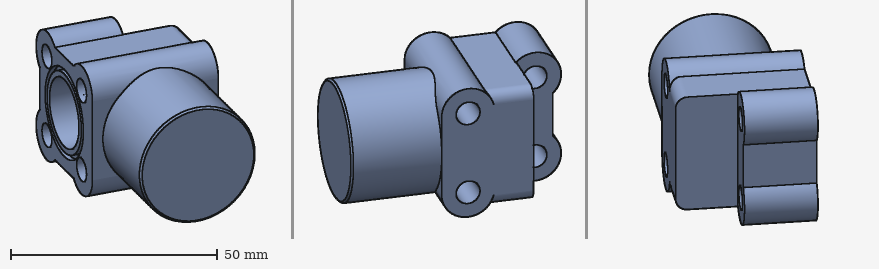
import cadquery as cq


bolt_spacing = 21.15
lobe_radius = 6.65
bolt_hole_diameter = 6.0
half_spacing = bolt_spacing / 2
flange_reach = half_spacing + lobe_radius

total_length = 57.2
outlet_radius = 15.3
outlet_axis_y = 18.0
outlet_chamfer = 0.5
outlet_end_x = total_length - flange_reach

body_half_width = 15.1
body_depth = outlet_axis_y + outlet_radius
rear_left_x = -5.95
rear_edge_radius = 2.9
front_depth = outlet_axis_y

bore_radius = 9.0
bore_floor_wall = 1.45
bore_depth = front_depth - bore_floor_wall
groove_inner_radius = 10.45
groove_outer_radius = 11.65
groove_depth = 1.5


def box(x_min, x_max, depth, half_height):
    """Block from the flange face to the given depth, centred on Z = 0."""
    return cq.Workplane("XY").box(
        x_max - x_min, depth, 2 * half_height, centered=(False, False, True)
    ).translate((x_min, 0, 0))


def cylinder(x, z, radius, depth):
    """Cylinder along +Y starting on the flange face."""
    return cq.Workplane("XZ").center(x, z).circle(radius).extrude(-depth)


def make_body():
    """Full-depth block with rounded rear edges and a wider front part."""
    rear = box(rear_left_x, half_spacing, body_depth, body_half_width)
    rear = rear.edges("|X and >Y").fillet(rear_edge_radius)
    front = box(-body_half_width, half_spacing, front_depth, body_half_width)
    return rear.union(front)


def add_lobes(body):
    """Short lobes on the left, full-depth lobes with a flat wall on the right."""
    for z in (-half_spacing, half_spacing):
        body = body.union(cylinder(-half_spacing, z, lobe_radius, front_depth))
        body = body.union(cylinder(half_spacing, z, lobe_radius, body_depth))
    return body.union(box(half_spacing, flange_reach, body_depth, half_spacing))


def make_outlet():
    """Round outlet along +X with a chamfered end."""
    return (
        cq.Workplane("YZ", origin=(half_spacing, outlet_axis_y, 0))
        .circle(outlet_radius)
        .extrude(outlet_end_x - half_spacing)
        .faces(">X")
        .chamfer(outlet_chamfer)
    )


def cut_openings(body):
    """Bolt holes, blind bore and seal groove."""
    for x in (-half_spacing, half_spacing):
        for z in (-half_spacing, half_spacing):
            body = body.cut(cylinder(x, z, bolt_hole_diameter / 2, body_depth))
    groove = cylinder(0, 0, groove_outer_radius, groove_depth).cut(
        cylinder(0, 0, groove_inner_radius, groove_depth)
    )
    return body.cut(cylinder(0, 0, bore_radius, bore_depth)).cut(groove)


result = cut_openings(add_lobes(make_body()).union(make_outlet()))